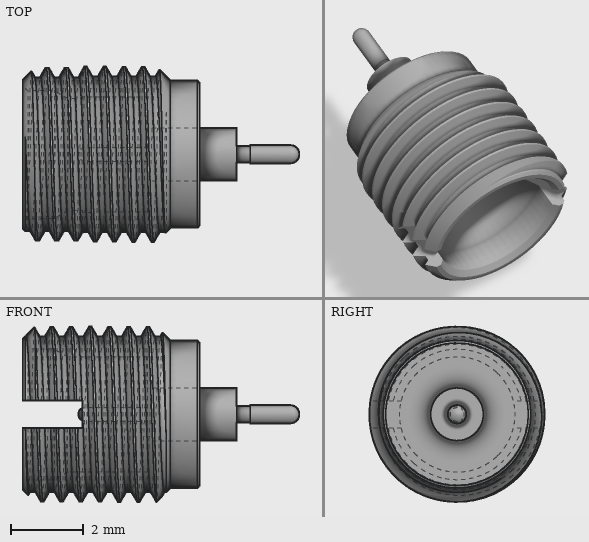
import cadquery as cq
import math


housing_length = 4.88
collar_radius = 4.06 / 2
collar_start = 4.07
collar_chamfer = 0.07

thread_radius = 4.83 / 2
root_radius = 2.15
pitch = 0.529
flank_half_angle = math.radians(30)
crest_width = 0.06
top_crest_position = 0.81
turns_before = 3
turns_after = 1
root_overlap = 0.04

rim_radius = 2.07
envelope_clearance = 0.08

mouth_radius = 1.935
throat_radius = 1.8
bore_radius = 3.18 / 2
mouth_depth = 0.14
throat_depth = 0.87
bore_cone_end = 1.235
floor_position = 3.43

slot_width = 0.755
slot_depth = 1.645

bead_radius = 1.45 / 2
bead_end = 5.89
tip_radius = 0.38 / 2
tip_start = 1.53
neck_radius = 0.46 / 2
neck_end = 6.26
tail_radius = 0.51 / 2
contact_end = 7.62
dome_fraction = 0.99


def revolve_profile(profile):
    """Revolve a closed (X, radius) profile about the X axis."""
    return profile.close().revolve(360, (0, 0, 0), (1, 0, 0))


def rod(start, end, radius):
    """Solid cylinder along X."""
    return cq.Workplane("YZ", origin=(start, 0, 0)).circle(radius).extrude(end - start)


def make_thread_ridge():
    """One right-handed helical ridge that runs past both ends of the threaded length."""
    start = top_crest_position - turns_before * pitch
    turns = math.ceil((collar_start - start) / pitch) + turns_after
    base_radius = root_radius - root_overlap
    half_crest = crest_width / 2
    half_base = half_crest + (thread_radius - base_radius) * math.tan(flank_half_angle)
    helix = cq.Wire.makeHelix(pitch, turns * pitch, base_radius)
    ridge = (
        cq.Workplane("XZ")
        .moveTo(base_radius, -half_base)
        .lineTo(thread_radius, -half_crest)
        .lineTo(thread_radius, half_crest)
        .lineTo(base_radius, half_base)
        .close()
        .sweep(cq.Workplane(obj=helix), isFrenet=True)
    )
    ridge = ridge.rotate((0, 0, 0), (0, 0, 1), 180)
    ridge = ridge.rotate((0, 0, 0), (0, 1, 0), 90)
    return ridge.translate((start, 0, 0))


def make_threaded_barrel():
    """Threaded length with a 45 degree chamfer at each end."""
    outer = thread_radius + envelope_clearance
    envelope = revolve_profile(
        cq.Workplane("XY")
        .lineTo(0, rim_radius)
        .lineTo(outer - rim_radius, outer)
        .lineTo(collar_start - (outer - collar_radius), outer)
        .lineTo(collar_start, collar_radius)
        .lineTo(collar_start, 0)
    )
    core = rod(0, collar_start, root_radius).intersect(envelope)
    return core.union(make_thread_ridge().intersect(envelope))


def make_bore():
    """Stepped, tapered cavity behind the mating end."""
    return revolve_profile(
        cq.Workplane("XY")
        .lineTo(0, mouth_radius)
        .lineTo(mouth_depth, throat_radius)
        .lineTo(throat_depth, throat_radius)
        .lineTo(bore_cone_end, bore_radius)
        .lineTo(floor_position, bore_radius)
        .lineTo(floor_position, 0)
    )


def make_housing():
    collar = rod(collar_start, housing_length, collar_radius).faces(">X").chamfer(collar_chamfer)
    slot_length = 2 * (thread_radius + envelope_clearance)
    slot = cq.Workplane("XY").box(slot_depth, slot_length, slot_width, centered=(False, True, True))
    bead_hole = rod(floor_position, housing_length, bead_radius)
    return make_threaded_barrel().union(collar).cut(make_bore()).cut(slot).cut(bead_hole)


def make_contact():
    """Bead with a round-ended pin through its middle."""
    bead = rod(floor_position, bead_end, bead_radius)
    tip = rod(tip_start, floor_position, tip_radius).faces("<X").edges().fillet(dome_fraction * tip_radius)
    neck = rod(bead_end, neck_end, neck_radius)
    tail = rod(neck_end, contact_end, tail_radius).faces(">X").edges().fillet(dome_fraction * tail_radius)
    return bead.union(tip).union(neck).union(tail)


housing = make_housing()
contact = make_contact()
result = cq.Compound.makeCompound([housing.val(), contact.val()])